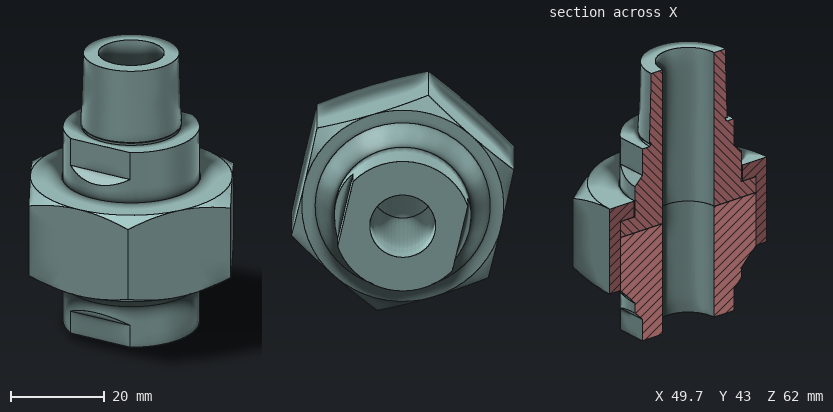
import cadquery as cq
import math

total_height = 62.0
lower_collar_top = 9.4
nut_bottom = 13.5
nut_top = 33.5
upper_collar_top = 45.0
spigot_bottom = 45.75

bore_radius = 7.0
collar_radius = 14.6
flat_half_width = 12.5
cutter_overrun = 0.6
flat_shoulder_depth = collar_radius - flat_half_width
lower_flat_end = 5.1
upper_flat_end = 38.8

spigot_diameter_taper = 1 / 16
spigot_top_radius = 10.2
spigot_bottom_radius = spigot_top_radius + (total_height - spigot_bottom) * spigot_diameter_taper / 2
neck_radius = 10.3
neck_foot_radius = 10.55
neck_foot_height = 0.4

nut_across_flats = 43.0
nut_across_corners = nut_across_flats / math.cos(math.radians(30))
nut_chamfer_angle = 30.0
joint_radius = collar_radius + nut_bottom - lower_collar_top
nut_lip_thickness = 3.7
nut_lip_bottom = nut_top - nut_lip_thickness
flange_thickness = 3.7
joint_face = nut_lip_bottom - flange_thickness
nut_hole_clearance = 0.2
nut_hole_radius = collar_radius + nut_hole_clearance


def revolve_profile(points):
    """Turn a closed (radius, height) outline about the Z axis."""
    return cq.Workplane("XZ").polyline(points).close().revolve(360, (0, 0), (0, 1))


def wrench_flats(body, collar_end, flat_end):
    """Cut two opposite flats, each ending in a 45 degree shoulder."""
    inward = math.copysign(1, flat_end - collar_end)
    shoulder_end = flat_end + inward * flat_shoulder_depth
    for side in (-1, 1):
        cutter = (
            cq.Workplane("YZ")
            .polyline([
                (side * flat_half_width, collar_end),
                (side * flat_half_width, flat_end),
                (side * collar_radius, shoulder_end),
                (side * (collar_radius + cutter_overrun), shoulder_end),
                (side * (collar_radius + cutter_overrun), collar_end),
            ])
            .close()
            .extrude(collar_radius, both=True)
        )
        body = body.cut(cutter)
    return body


def make_lower_body():
    """Collar that flares out to the cylinder held inside the nut."""
    body = revolve_profile([
        (bore_radius, 0),
        (collar_radius, 0),
        (collar_radius, lower_collar_top),
        (joint_radius, nut_bottom),
        (joint_radius, joint_face),
        (bore_radius, joint_face),
    ])
    return wrench_flats(body, 0, lower_flat_end)


def make_tailpiece():
    """Flange under the nut lip, collar, neck and tapered spigot."""
    body = revolve_profile([
        (bore_radius, joint_face),
        (joint_radius, joint_face),
        (joint_radius, nut_lip_bottom),
        (collar_radius, nut_lip_bottom),
        (collar_radius, upper_collar_top),
        (neck_foot_radius, upper_collar_top),
        (neck_radius, upper_collar_top + neck_foot_height),
        (neck_radius, spigot_bottom),
        (spigot_bottom_radius, spigot_bottom),
        (spigot_top_radius, total_height),
        (bore_radius, total_height),
    ])
    return wrench_flats(body, upper_collar_top, upper_flat_end)


def make_nut():
    """Hexagon with both ends chamfered, bored for the joint and the collar."""
    hexagon = (
        cq.Workplane("XY", origin=(0, 0, nut_bottom))
        .polygon(6, nut_across_corners)
        .extrude(nut_top - nut_bottom)
    )
    face_radius = nut_across_flats / 2
    corner_radius = nut_across_corners / 2
    corner_drop = (corner_radius - face_radius) * math.tan(math.radians(nut_chamfer_angle))
    turned_blank = revolve_profile([
        (joint_radius, nut_bottom),
        (face_radius, nut_bottom),
        (corner_radius, nut_bottom + corner_drop),
        (corner_radius, nut_top - corner_drop),
        (face_radius, nut_top),
        (nut_hole_radius, nut_top),
        (nut_hole_radius, nut_lip_bottom),
        (joint_radius, nut_lip_bottom),
    ])
    return hexagon.intersect(turned_blank)


lower_body = make_lower_body()
tailpiece = make_tailpiece()
nut = make_nut()

result = cq.Compound.makeCompound([lower_body.val(), tailpiece.val(), nut.val()])